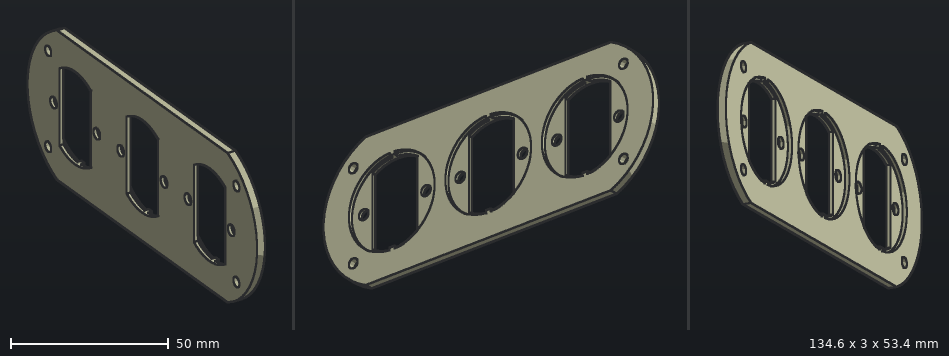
import cadquery as cq
import math

plate_length = 134.62
plate_height = 53.36
plate_thickness = 3.0
end_radius = 29.21

station_count = 3
station_pitch = 39.37
window_width = 18.3
window_radius = 16.51
screw_spacing = 25.4
screw_diameter = 3.81

mount_diameter = 3.51
mount_spacing_x = 110.3
mount_spacing_z = 34.2

pocket_depth = 1.5
pocket_margin = 1.0
pocket_radius = window_radius + pocket_margin
tab_width = 2.0

station_centers = [
    ((i - (station_count - 1) / 2) * station_pitch, 0) for i in range(station_count)
]


def back_plane():
    """XZ plane on the back face, from which extrusion runs toward the front (-Y)."""
    return cq.Workplane("XZ", origin=(0, plate_thickness, 0))


def make_plate():
    """Plate with arc ends that meet the straight edges at slight corners."""
    half_length = plate_length / 2
    half_height = plate_height / 2
    end_center = half_length - end_radius
    flat_end = end_center + math.sqrt(end_radius**2 - half_height**2)
    return (
        back_plane()
        .moveTo(-flat_end, half_height)
        .lineTo(flat_end, half_height)
        .threePointArc((half_length, 0), (flat_end, -half_height))
        .lineTo(-flat_end, -half_height)
        .threePointArc((-half_length, 0), (-flat_end, half_height))
        .close()
        .extrude(plate_thickness)
    )


def make_windows():
    """Round-topped openings: circles trimmed by two vertical sides."""
    strips = (
        back_plane()
        .pushPoints(station_centers)
        .rect(window_width, 2 * window_radius)
        .extrude(plate_thickness)
    )
    discs = (
        back_plane()
        .pushPoints(station_centers)
        .circle(window_radius)
        .extrude(plate_thickness)
    )
    return strips.intersect(discs)


def make_pockets():
    """Round pockets, each split by the strip that leaves its two tabs."""
    discs = (
        back_plane()
        .pushPoints(station_centers)
        .circle(pocket_radius)
        .extrude(pocket_depth)
    )
    tabs = (
        back_plane()
        .pushPoints(station_centers)
        .rect(tab_width, 2 * pocket_radius)
        .extrude(pocket_depth)
    )
    return discs.cut(tabs)


def make_screw_holes():
    """A pair of holes beside every window, on the long centerline."""
    points = [
        (x + side * screw_spacing / 2, z)
        for x, z in station_centers
        for side in (-1, 1)
    ]
    return (
        back_plane()
        .pushPoints(points)
        .circle(screw_diameter / 2)
        .extrude(plate_thickness)
    )


def make_mount_holes():
    """Four holes near the rounded ends."""
    return (
        back_plane()
        .rect(mount_spacing_x, mount_spacing_z, forConstruction=True)
        .vertices()
        .circle(mount_diameter / 2)
        .extrude(plate_thickness)
    )


result = (
    make_plate()
    .cut(make_windows())
    .cut(make_pockets())
    .cut(make_screw_holes())
    .cut(make_mount_holes())
)